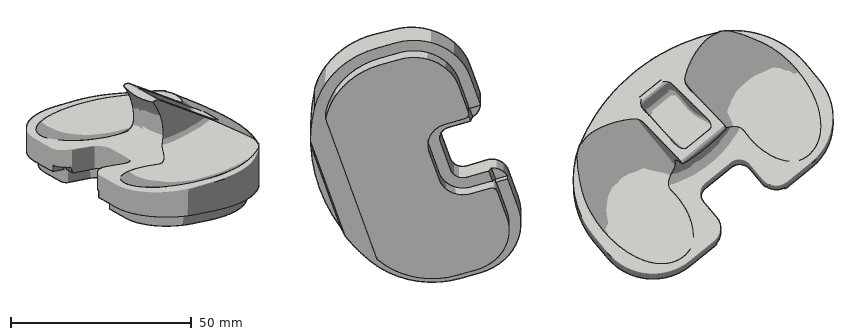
import cadquery as cq
import math


width = 76.1
depth = 50.8
half_width = width / 2
back_corner_radius = 16.3
side_end_y = 22.1
front_radius = 51.0
notch_half_width = 8.2
notch_depth = 14.15
notch_inner_radius = 3.65
notch_outer_radius = 4.9

plate_bottom = 3.9
undercut_top = 5.7
landing_height = 10.95
landing_tilt = 2.0
post_top = 27.2
tool_height = 45.7

base_inset = 3.3
base_front_y = 41.5

undercut_lean = 0.7
front_undercut_y = 48.25
leg_undercut_y = 4.2
leg_undercut_half_width = 12.2

rim_slope = 0.08
rim_slope_start_y = 2.7
rim_bend_y = 34.25
rim_bend_radius = 39.6
rim_end_y = 44.15
rim_edge_radius = 0.2

wedge_half_width = 25.1
wedge_back_y = 16.0
wedge_back_z = 15.2
wedge_middle = (37.0, 19.25)
wedge_foot = (44.5, 15.7)
wedge_front_z = 13.85
wedge_crest_slope = -0.53
wedge_front_slope = -0.25
wedge_front_edge_radius = 2.3
post_tip_y = 21.5
post_tip_radius = 1.9
post_tip_end_angle = 60.0

bowl_center_x = 22.3
bowl_axis_y = 18.2
bowl_axis_z = 61.05
bowl_floor_z = 8.45
bowl_section_radius = 22.75
post_half_width = 7.9
post_side_fillet = 3.1

post_axis_y = 51.6
post_neck_radius = 29.4
post_foot_fillet = 6.1
post_flare_radius = 16.75
flare_top_z = 30.2
landing_half_width = 20.55

pocket_floor_z = 13.55
pocket_floor_half_width = 5.1
pocket_draft = 0.05
pocket_rear_y = 23.2
pocket_rear_z = 26.25
pocket_floor_rear_y = 31.0
pocket_floor_front_y = 39.5
pocket_front_slope = 1.0
pocket_lip_start_y = 41.8
pocket_lip_end_y = 43.85
pocket_lip_end_z = 15.9
pocket_rear_floor_radius = 2.4
pocket_front_floor_radius = 3.05
pocket_corner_radius = 1.75


def front_side_arc():
    """Radius of the arc joining the straight side to the front arc, and where they meet (x, y)."""
    front_center_y = depth - front_radius
    rise = side_end_y - front_center_y
    radius = (front_radius**2 - half_width**2 - rise**2) / (2 * (front_radius - half_width))
    center_x = half_width - radius
    reach = front_radius / math.hypot(center_x, rise)
    return radius, center_x, (center_x * reach, front_center_y + rise * reach)


def plate_outline():
    radius, center_x, (join_x, join_y) = front_side_arc()
    middle_angle = math.atan2(join_y - side_end_y, join_x - center_x) / 2
    side_mid_x = center_x + radius * math.cos(middle_angle)
    side_mid_y = side_end_y + radius * math.sin(middle_angle)
    corner = back_corner_radius
    corner_inset = corner * (1 - math.sqrt(0.5))
    leg_x = notch_half_width + notch_outer_radius
    leg_inset = notch_outer_radius * (1 - math.sqrt(0.5))
    inner_inset = notch_inner_radius * (1 - math.sqrt(0.5))
    return (
        cq.Workplane("XY")
        .moveTo(-join_x, join_y)
        .threePointArc((0, depth), (join_x, join_y))
        .threePointArc((side_mid_x, side_mid_y), (half_width, side_end_y))
        .lineTo(half_width, corner)
        .threePointArc((half_width - corner_inset, corner_inset), (half_width - corner, 0))
        .lineTo(leg_x, 0)
        .threePointArc((notch_half_width + leg_inset, leg_inset), (notch_half_width, notch_outer_radius))
        .lineTo(notch_half_width, notch_depth - notch_inner_radius)
        .threePointArc(
            (notch_half_width - inner_inset, notch_depth - inner_inset),
            (notch_half_width - notch_inner_radius, notch_depth),
        )
        .lineTo(notch_inner_radius - notch_half_width, notch_depth)
        .threePointArc(
            (inner_inset - notch_half_width, notch_depth - inner_inset),
            (-notch_half_width, notch_depth - notch_inner_radius),
        )
        .lineTo(-notch_half_width, notch_outer_radius)
        .threePointArc((-notch_half_width - leg_inset, leg_inset), (-leg_x, 0))
        .lineTo(corner - half_width, 0)
        .threePointArc((corner_inset - half_width, corner_inset), (-half_width, corner))
        .lineTo(-half_width, side_end_y)
        .threePointArc((-side_mid_x, side_mid_y), (-join_x, join_y))
        .close()
    )


def plate_prism():
    return plate_outline().extrude(tool_height).translate((0, 0, plate_bottom))


def start_profile(half_length):
    """YZ profile start for a body that runs from -half_length to +half_length along X."""
    return cq.Workplane("YZ", origin=(-half_length, 0, 0))


def post_back_cutter():
    """Turned cutter that leaves the flared, convex back face of the post and the landing."""
    foot_radius = post_neck_radius + post_foot_fillet
    foot_top_z = landing_height + post_foot_fillet
    foot_inset = post_foot_fillet * (1 - math.sqrt(0.5))
    flare_center_radius = post_neck_radius + post_flare_radius
    flare_angle = math.asin((flare_top_z - foot_top_z) / post_flare_radius)

    def flare_point(angle):
        return (
            flare_center_radius - post_flare_radius * math.cos(angle),
            foot_top_z + post_flare_radius * math.sin(angle),
        )

    turned = (
        cq.Workplane("XZ")
        .moveTo(width, landing_height)
        .lineTo(foot_radius, landing_height)
        .threePointArc(
            (post_neck_radius + foot_inset, landing_height + foot_inset),
            (post_neck_radius, foot_top_z),
        )
        .threePointArc(flare_point(flare_angle / 2), flare_point(flare_angle))
        .lineTo(width, flare_top_z)
        .close()
        .revolve(360, (0, 0, 0), (0, 1, 0))
        .translate((0, post_axis_y, 0))
    )
    keep = cq.Workplane("XY").box(
        2 * landing_half_width, post_axis_y, tool_height, centered=(True, False, False)
    )
    pivot = (0, rim_slope_start_y, landing_height)
    pivot_end = (1, rim_slope_start_y, landing_height)
    return turned.intersect(keep).rotate(pivot, pivot_end, -landing_tilt)


def rim_body():
    """Whole plate, topped by the sloping rim surface."""
    rim_bend_z = landing_height + rim_slope * (rim_bend_y - rim_slope_start_y)
    tilt = math.atan(rim_slope)
    bend_center_y = rim_bend_y - rim_bend_radius * math.sin(tilt)
    bend_center_z = rim_bend_z + rim_bend_radius * math.cos(tilt)

    def bend_point(y):
        return y, bend_center_z - math.sqrt(rim_bend_radius**2 - (y - bend_center_y) ** 2)

    profile = (
        start_profile(half_width)
        .moveTo(0, plate_bottom)
        .lineTo(0, landing_height - rim_slope * rim_slope_start_y)
        .lineTo(rim_bend_y, rim_bend_z)
        .threePointArc(bend_point((rim_bend_y + rim_end_y) / 2), bend_point(rim_end_y))
        .lineTo(rim_end_y, plate_bottom)
        .close()
        .extrude(2 * half_width)
    )
    blank = plate_prism().intersect(profile).cut(post_back_cutter())
    edge_points = [
        (0, notch_depth, landing_height),
        (half_width, side_end_y, landing_height),
        (-half_width, side_end_y, landing_height),
        (half_width / 2, 0, landing_height),
        (-half_width / 2, 0, landing_height),
    ]
    edges = cq.Workplane("XY")
    for point in edge_points:
        edges = edges.add(blank.edges(cq.selectors.NearestToPointSelector(point)))
    return blank.newObject(edges.vals()).fillet(rim_edge_radius)


def wedge_body():
    """Middle of the plate, topped by the wedge and rounded along the front edge."""
    tip_center_z = post_top - post_tip_radius

    def tip_point(angle):
        return (
            post_tip_y + post_tip_radius * math.sin(angle),
            tip_center_z + post_tip_radius * math.cos(angle),
        )

    tip_end = tip_point(-math.radians(post_tip_end_angle))
    crest = tip_point(-math.atan(wedge_crest_slope))
    profile = (
        start_profile(wedge_half_width)
        .moveTo(wedge_back_y, plate_bottom)
        .lineTo(wedge_back_y, wedge_back_z)
        .lineTo(*tip_end)
        .threePointArc((post_tip_y, post_top), crest)
        .spline(
            [wedge_middle, wedge_foot, (depth, wedge_front_z)],
            tangents=[(1, wedge_crest_slope), (1, wedge_front_slope)],
            includeCurrent=True,
        )
        .lineTo(depth, plate_bottom)
        .close()
        .extrude(2 * wedge_half_width)
    )
    front_top_edges = cq.selectors.BoxSelector(
        (-half_width, base_front_y, plate_bottom + wedge_front_edge_radius), (half_width, depth, post_top)
    )
    blank = plate_prism().intersect(profile)
    rounded = blank.edges("not (|X or |Z)").edges(front_top_edges).fillet(wedge_front_edge_radius)
    return rounded.cut(post_back_cutter())


def bowl_cutter():
    """Ring-shaped cutter for one bowl, with a flat side against the post and a rounded corner."""
    center_z = bowl_floor_z + bowl_section_radius
    reach = bowl_section_radius - post_side_fillet
    offset_x = bowl_center_x - post_half_width - post_side_fillet
    drop = math.sqrt(reach**2 - offset_x**2)
    fillet_x = post_half_width + post_side_fillet
    fillet_z = center_z - drop
    blend_angle = math.atan2(drop, offset_x)

    def fillet_point(angle):
        return fillet_x - post_side_fillet * math.cos(angle), fillet_z - post_side_fillet * math.sin(angle)

    return (
        cq.Workplane("XZ")
        .moveTo(post_half_width, center_z)
        .lineTo(post_half_width, fillet_z)
        .threePointArc(fillet_point(blend_angle / 2), fillet_point(blend_angle))
        .threePointArc((bowl_center_x, bowl_floor_z), (bowl_center_x + bowl_section_radius, center_z))
        .close()
        .revolve(360, (0, bowl_axis_z, 0), (1, bowl_axis_z, 0))
        .translate((0, bowl_axis_y, 0))
    )


def pocket_cutter():
    """Tapered pocket in front of the post, with a sloped rear face and rounded corners."""
    rear_slope = (pocket_rear_z - pocket_floor_z) / (pocket_floor_rear_y - pocket_rear_y)
    lip_start_z = pocket_floor_z + pocket_front_slope * (pocket_lip_start_y - pocket_floor_front_y)
    rise = tool_height - pocket_floor_z
    side_profile = (
        start_profile(half_width)
        .moveTo(pocket_floor_rear_y, pocket_floor_z)
        .lineTo(pocket_floor_front_y, pocket_floor_z)
        .lineTo(pocket_lip_start_y, lip_start_z)
        .tangentArcPoint((pocket_lip_end_y, pocket_lip_end_z), relative=False)
        .lineTo(pocket_lip_end_y, tool_height)
        .lineTo(pocket_floor_rear_y - rise / rear_slope, tool_height)
        .close()
        .extrude(2 * half_width)
    )
    top_half_width = pocket_floor_half_width + pocket_draft * rise
    taper = (
        cq.Workplane("XZ")
        .polyline(
            [
                (-pocket_floor_half_width, pocket_floor_z),
                (pocket_floor_half_width, pocket_floor_z),
                (top_half_width, tool_height),
                (-top_half_width, tool_height),
            ]
        )
        .close()
        .extrude(-2 * depth)
    )
    sharp = side_profile.intersect(taper)
    rear_edge = cq.selectors.NearestToPointSelector((0, pocket_floor_rear_y, pocket_floor_z))
    front_edge = cq.selectors.NearestToPointSelector((0, pocket_floor_front_y, pocket_floor_z))
    blended = sharp.edges(rear_edge).fillet(pocket_rear_floor_radius)
    blended = blended.edges(front_edge).fillet(pocket_front_floor_radius)
    return blended.edges("not(>Z or |X)").fillet(pocket_corner_radius)


def base_body():
    """Raised foot under the plate: the plate outline set inwards and cut straight at the front."""
    foot = plate_outline().offset2D(-base_inset).extrude(undercut_top)
    limit = cq.Workplane("XY").box(width, base_front_y, undercut_top, centered=(True, False, False))
    return foot.intersect(limit)


def front_undercut():
    """Step with a leaning wall along the underside of the front edge."""
    return (
        start_profile(half_width)
        .moveTo(front_undercut_y, plate_bottom)
        .lineTo(front_undercut_y + undercut_lean, undercut_top)
        .lineTo(depth, undercut_top)
        .lineTo(depth, plate_bottom)
        .close()
        .extrude(width)
    )


def leg_undercut():
    """Recess with a leaning wall under the back ends of both legs, beside the notch."""
    return (
        start_profile(leg_undercut_half_width)
        .moveTo(0, plate_bottom)
        .lineTo(0, undercut_top)
        .lineTo(leg_undercut_y - undercut_lean, undercut_top)
        .lineTo(leg_undercut_y, plate_bottom)
        .close()
        .extrude(2 * leg_undercut_half_width)
    )


body = rim_body().union(wedge_body())
for cutter in (bowl_cutter(), bowl_cutter().mirror("YZ"), pocket_cutter(), front_undercut(), leg_undercut()):
    body = body.cut(cutter)
result = body.union(base_body()).clean()